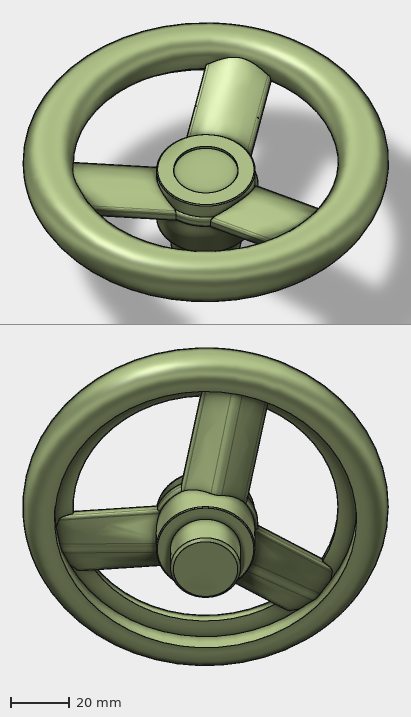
import cadquery as cq
import math

rim_diameter = 125.0
tube_diameter = 17.2
overall_height = 49.0
rim_center_radius = (rim_diameter - tube_diameter) / 2
rim_center_z = overall_height - tube_diameter / 2

rabbet_diameter = 103.2
rabbet_top_z = rim_center_z - 1.1

hub_diameter = 33.7
hub_bottom_z = 13.0
hub_top_z = 36.7
hub_chamfer = 0.4
shank_diameter = 24.0
shank_chamfer = 1.0
recess_diameter = 22.0
recess_depth = 1.0

collar_diameter = 35.7
collar_bottom_z = 26.4
collar_height = 4.6
collar_round = 1.5

spoke_count = 3
spoke_length = 52.5
spoke_slope = 19.8
spoke_rise = spoke_length * math.tan(math.radians(spoke_slope))
spoke_width = 23.0
spoke_axis_z = 21.5
spoke_edge_height = 4.2
spoke_edge_round = 1.1
spoke_crown = 2.4
keel_inner_depth = 7.9
keel_outer_depth = 2.5
keel_half_width = 1.9
keel_tip_height = 0.5


def make_rim():
    """Revolve the round section, notched at its lower inner side by the rabbet."""
    tube_radius = tube_diameter / 2
    wall_radius = rabbet_diameter / 2
    wall_bottom_z = rim_center_z - math.sqrt(tube_radius**2 - (rim_center_radius - wall_radius) ** 2)
    lip_radius = rim_center_radius - math.sqrt(tube_radius**2 - (rim_center_z - rabbet_top_z) ** 2)
    profile = (
        cq.Workplane("XZ")
        .moveTo(wall_radius, rabbet_top_z)
        .lineTo(wall_radius, wall_bottom_z)
        .threePointArc((rim_diameter / 2, rim_center_z), (lip_radius, rabbet_top_z))
        .close()
    )
    return profile.revolve(360, (0, 0), (0, 1))


def make_hub():
    shank = cq.Workplane("XY").circle(shank_diameter / 2).extrude(hub_top_z - recess_depth)
    shank = shank.faces("<Z").chamfer(shank_chamfer)
    body = cq.Workplane("XY").workplane(offset=hub_bottom_z).circle(hub_diameter / 2)
    body = body.extrude(hub_top_z - hub_bottom_z).edges().chamfer(hub_chamfer)
    collar = cq.Workplane("XY").workplane(offset=collar_bottom_z).circle(collar_diameter / 2)
    collar = collar.extrude(collar_height).edges().fillet(collar_round)
    return body.union(shank).union(collar)


def spoke_section(section, base_z, keel_depth):
    """Draw the upright section of a spoke; base_z is the height of its lower side edges."""
    half_width = spoke_width / 2
    half_face = half_width - spoke_edge_round
    top_z = base_z + spoke_edge_height
    tip_z = base_z - keel_depth
    round_shift = spoke_edge_round * math.sqrt(0.5)
    round_x = half_face + round_shift
    lower_round_z = base_z + spoke_edge_round - round_shift
    upper_round_z = top_z - spoke_edge_round + round_shift
    return (
        section.moveTo(-half_face, base_z)
        .lineTo(-keel_half_width, tip_z + keel_tip_height)
        .threePointArc((0, tip_z), (keel_half_width, tip_z + keel_tip_height))
        .lineTo(half_face, base_z)
        .threePointArc((round_x, lower_round_z), (half_width, base_z + spoke_edge_round))
        .lineTo(half_width, top_z - spoke_edge_round)
        .threePointArc((round_x, upper_round_z), (half_face, top_z))
        .threePointArc((0, top_z + spoke_crown), (-half_face, top_z))
        .threePointArc((-round_x, upper_round_z), (-half_width, top_z - spoke_edge_round))
        .lineTo(-half_width, base_z + spoke_edge_round)
        .threePointArc((-round_x, lower_round_z), (-half_face, base_z))
        .close()
    )


def make_spoke():
    """Spoke along +X, blended from the hub's axis to inside the rim."""
    spoke = spoke_section(cq.Workplane("YZ"), spoke_axis_z, keel_inner_depth)
    spoke = spoke.workplane(offset=spoke_length)
    return spoke_section(spoke, spoke_axis_z + spoke_rise, keel_outer_depth).loft(ruled=True)


result = make_rim().union(make_hub())
for index in range(spoke_count):
    spoke = make_spoke().rotate((0, 0, 0), (0, 0, 1), index * 360 / spoke_count)
    result = result.union(spoke)

recess = cq.Workplane("XY").workplane(offset=hub_top_z - recess_depth)
result = result.cut(recess.circle(recess_diameter / 2).extrude(recess_depth))